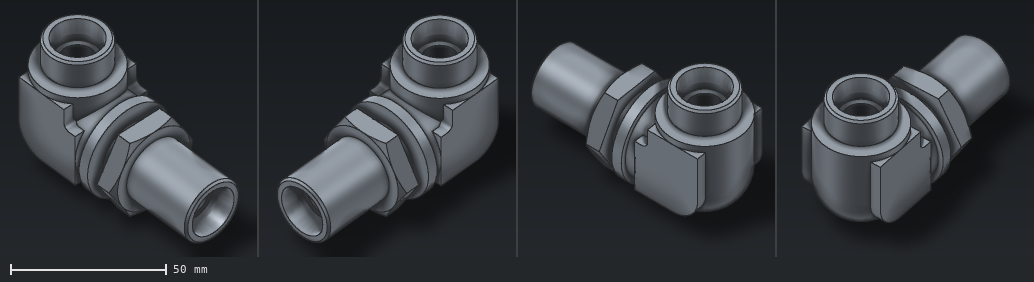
import cadquery as cq
import math

body_d = 32.0
body_top = 21.6
thread_d = 24.0
thread_chamfer = 0.8
port_top = 33.0
stem_end = 64.0

flange_d = 36.0
flange_start = 20.0
flange_end = 24.0

nut_flats = 32.0
nut_start = 29.0
nut_end = 36.0
nut_chamfer_angle = 30.0

pad_reach = 10.6
pad_top = 18.9
pad_end = body_d / 2
notch_radius = 2.6

bore_d = 12.0
seat_d = 16.0
mouth_d = 18.4
cone_half_angle = 12.0
cone_depth = (mouth_d - seat_d) / 2 / math.tan(math.radians(cone_half_angle))
seat_depth = 8.5


def rod(plane, diameter, start, end):
    """Cylinder along the plane's normal between two distances from the origin."""
    return cq.Workplane(plane).workplane(offset=start).circle(diameter / 2).extrude(end - start)


def threaded_end(plane, start, end):
    """Plain thread-diameter rod with both rims chamfered."""
    return rod(plane, thread_d, start, end).edges("%CIRCLE").chamfer(thread_chamfer)


def bore(plane, end):
    """Passage from the elbow centre, opening into a seat and a conical mouth."""
    passage = rod(plane, bore_d, 0, end)
    seat = rod(plane, seat_d, end - seat_depth, end)
    mouth = (
        cq.Workplane(plane)
        .workplane(offset=end - cone_depth)
        .circle(seat_d / 2)
        .workplane(offset=cone_depth)
        .circle(mouth_d / 2)
        .loft()
    )
    return passage.union(seat).union(mouth)


def wrench_pads():
    """L-shaped block that gives the elbow a flat on each side."""
    arc_mid = -pad_reach * math.sqrt(0.5)
    return (
        cq.Workplane("XZ")
        .moveTo(-pad_reach, 0)
        .lineTo(-pad_reach, pad_top)
        .lineTo(pad_reach, pad_top)
        .lineTo(pad_reach, pad_reach + notch_radius)
        .radiusArc((pad_reach + notch_radius, pad_reach), -notch_radius)
        .lineTo(pad_end, pad_reach)
        .lineTo(pad_end, -pad_reach)
        .lineTo(0, -pad_reach)
        .threePointArc((arc_mid, arc_mid), (-pad_reach, 0))
        .close()
        .extrude(body_d / 2, both=True)
    )


def lock_nut():
    """Hexagon with corners on Y, its outer face cut back by a chamfer cone."""
    corner_d = nut_flats / math.cos(math.pi / 6)
    hexagon = (
        cq.Workplane("YZ")
        .workplane(offset=nut_start)
        .polygon(6, corner_d)
        .extrude(nut_end - nut_start)
    )
    chamfer_width = (corner_d - nut_flats) / 2
    chamfer_length = chamfer_width * math.tan(math.radians(nut_chamfer_angle))
    envelope = rod("YZ", corner_d, nut_start, nut_end).faces(">X").edges()
    return hexagon.intersect(envelope.chamfer(chamfer_length, chamfer_width))


elbow = cq.Workplane("XY").sphere(body_d / 2)
elbow = elbow.union(rod("XY", body_d, 0, body_top))
elbow = elbow.union(rod("YZ", body_d, 0, flange_start))
elbow = elbow.union(wrench_pads())
elbow = elbow.union(rod("YZ", flange_d, flange_start, flange_end))
elbow = elbow.union(threaded_end("XY", body_top, port_top))
elbow = elbow.union(threaded_end("YZ", flange_end, stem_end))
elbow = elbow.union(lock_nut())

elbow = elbow.cut(cq.Workplane("XY").sphere(bore_d / 2))
elbow = elbow.cut(bore("XY", port_top))
result = elbow.cut(bore("YZ", stem_end))